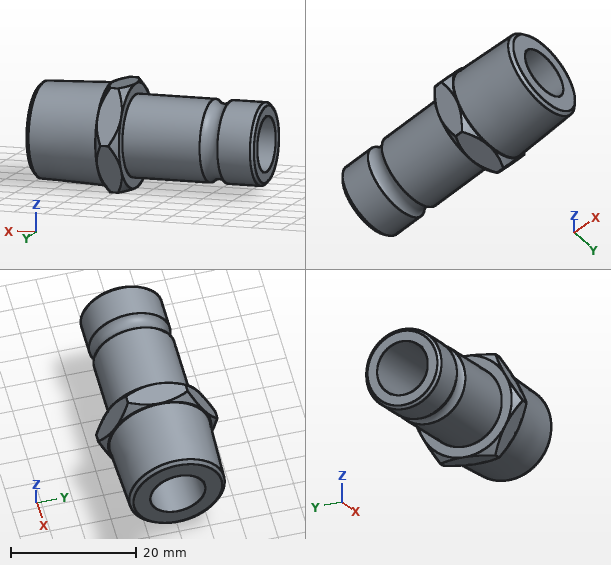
import cadquery as cq
import math

total_length = 38.0
hex_start = 22.0
hex_width = 4.0
hex_end = hex_start + hex_width

tube_radius = 6.73
tube_chamfer = 0.5

groove_center = 7.5
groove_width = 3.0
groove_depth = 0.7

across_flats = 17.0
flat_radius = across_flats / 2
corner_radius = flat_radius / math.cos(math.pi / 6)

taper_start_radius = 8.32
taper_end_radius = 7.85
spigot_chamfer = 0.57

bore_radius = 4.52


def revolve_about_x(profile):
    """Turn a closed profile, drawn with X along the axis and Y as radius, about the X axis."""
    return profile.close().revolve(360, (0, 0, 0), (1, 0, 0))


def make_tube():
    half_width = groove_width / 2
    return revolve_about_x(
        cq.Workplane("XY")
        .moveTo(0, 0)
        .lineTo(0, tube_radius - tube_chamfer)
        .lineTo(tube_chamfer, tube_radius)
        .lineTo(groove_center - half_width, tube_radius)
        .threePointArc(
            (groove_center, tube_radius - groove_depth),
            (groove_center + half_width, tube_radius),
        )
        .lineTo(hex_end, tube_radius)
        .lineTo(hex_end, 0)
    )


def make_hexagon_collar():
    hexagon = (
        cq.Workplane("YZ", origin=(hex_start, 0, 0))
        .polygon(6, 2 * corner_radius)
        .extrude(hex_width)
    )
    corner_chamfer = corner_radius - flat_radius
    trimming_body = revolve_about_x(
        cq.Workplane("XY")
        .moveTo(hex_start, 0)
        .lineTo(hex_start, flat_radius)
        .lineTo(hex_start + corner_chamfer, corner_radius)
        .lineTo(hex_end - corner_chamfer, corner_radius)
        .lineTo(hex_end, flat_radius)
        .lineTo(hex_end, 0)
    )
    return hexagon.intersect(trimming_body)


def make_tapered_spigot():
    return revolve_about_x(
        cq.Workplane("XY")
        .moveTo(hex_start, 0)
        .lineTo(hex_start, tube_radius)
        .lineTo(hex_end, tube_radius)
        .lineTo(hex_end, taper_start_radius)
        .lineTo(total_length - spigot_chamfer, taper_end_radius)
        .lineTo(total_length, taper_end_radius - spigot_chamfer)
        .lineTo(total_length, 0)
    )


def make_bore():
    return cq.Workplane("YZ").circle(bore_radius).extrude(total_length)


result = make_tube().union(make_hexagon_collar()).union(make_tapered_spigot()).cut(make_bore())